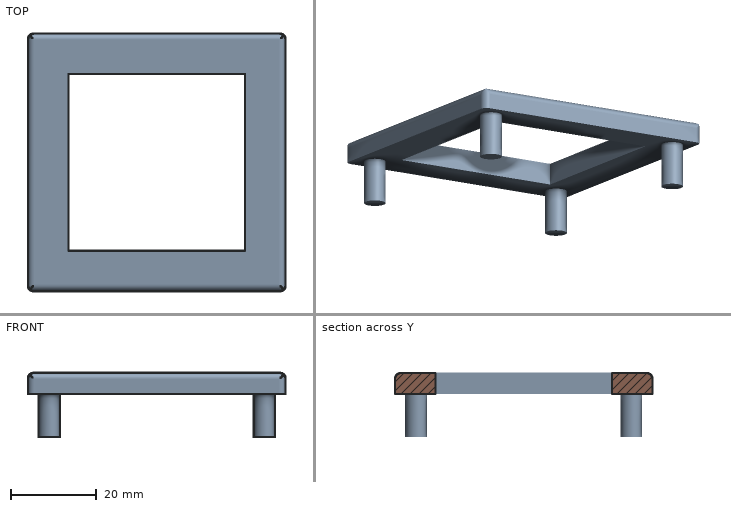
import cadquery as cq

side = 60.0
total_height = 15.0
leg_length = 10.0
frame_thickness = total_height - leg_length
window_side = 41.05
edge_radius = 1.5

leg_diameter = 5.05
leg_inset = 5.0
leg_spacing = side - 2 * leg_inset


def rounded_block(edge_selector):
    """Plain block on Z = 0 with the selected parallel edges rounded."""
    block = cq.Workplane("XY").box(side, side, frame_thickness, centered=(True, True, False))
    return block.edges(edge_selector).fillet(edge_radius)


def make_frame():
    """Frame whose rounded edges run through and meet in mitred corners."""
    block = rounded_block("|Z")
    for top_edges in (">Z and |X", ">Z and |Y"):
        block = block.intersect(rounded_block(top_edges))
    window = cq.Workplane("XY").rect(window_side, window_side).extrude(frame_thickness)
    return block.cut(window)


def make_legs():
    """Legs hanging down from the underside of the frame."""
    corners = cq.Workplane("XY").rect(leg_spacing, leg_spacing, forConstruction=True).vertices()
    return corners.circle(leg_diameter / 2).extrude(-leg_length)


result = make_frame().union(make_legs())